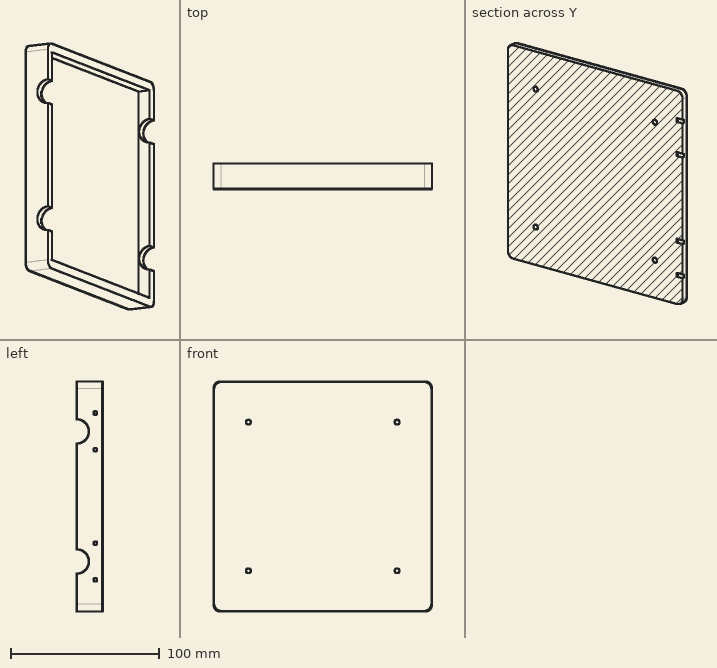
import cadquery as cq

width = 147.0
depth = 17.5
height = 155.0
corner_radius = 5.0
front_chamfer = 0.5
wall_thickness = 6.0
floor_thickness = 9.0

screw_diameter = 3.24
screw_depth = 6.0
screw_spacing = 100.0

notch_radius = 8.1
notch_spacing = 87.5

side_hole_diameter = 2.46
side_hole_depth = 5.0
side_hole_spacing = 24.7
side_hole_from_front = 5.0

front_y = -depth / 2
back_y = depth / 2
left_x = -width / 2
side_hole_y = front_y + side_hole_from_front


def tray():
    """Plate with rounded corners, a chamfered front edge and a cavity open at the back."""
    body = cq.Workplane("XY").box(width, depth, height)
    body = body.edges("|Y").fillet(corner_radius)
    body = body.faces("<Y").edges().chamfer(front_chamfer)
    cavity = (
        cq.Workplane("XZ", origin=(0, back_y, 0))
        .rect(width - 2 * wall_thickness, height - 2 * wall_thickness)
        .extrude(depth - floor_thickness)
    )
    return body.cut(cavity)


def rod_along_x(diameter, length, y, z):
    """Cylinder that starts on the -X side and runs toward +X."""
    return (
        cq.Workplane("YZ", origin=(left_x, y, z))
        .circle(diameter / 2)
        .extrude(length)
    )


def screw_holes():
    """Four cylinders running from the front face into the floor."""
    return (
        cq.Workplane("XZ", origin=(0, front_y, 0))
        .rect(screw_spacing, screw_spacing, forConstruction=True)
        .vertices()
        .circle(screw_diameter / 2)
        .extrude(-screw_depth)
    )


result = tray().cut(screw_holes())
for notch_z in (-notch_spacing / 2, notch_spacing / 2):
    result = result.cut(rod_along_x(2 * notch_radius, width, back_y, notch_z))
    for offset in (-side_hole_spacing / 2, side_hole_spacing / 2):
        hole = rod_along_x(side_hole_diameter, side_hole_depth, side_hole_y, notch_z + offset)
        result = result.cut(hole)